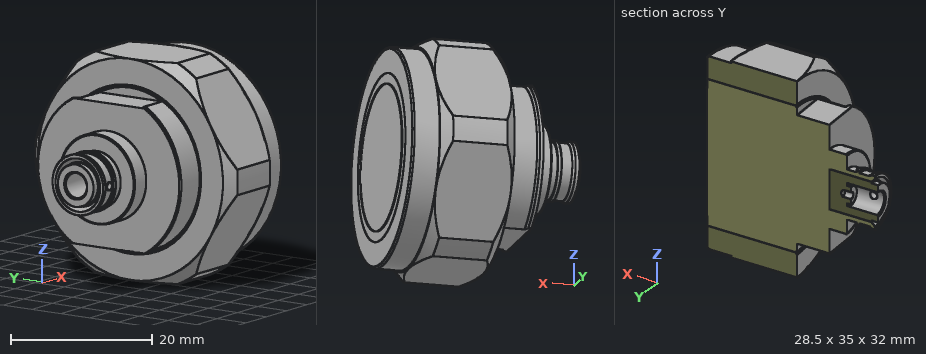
import cadquery as cq
import math


TOTAL_LENGTH = 28.5

SLEEVE_START = 0.52
SLEEVE_RADIUS = 4.13
RIB_RADIUS = 4.38
FRONT_RIB_END = 1.1
FRONT_RIB_TAPER_END = 1.5
REAR_RIB_START = 3.1
REAR_RIB_END = 3.68
MOUTH_RADIUS = 3.85

SHOULDER_START = 5.18
SHOULDER_RADIUS = 6.5
SHOULDER_CHAMFER = 0.15

FLANGE_START = 8.1
FLANGE_RADIUS = 12.2
FLANGE_RIM_END = 8.6
FLANGE_TAPER_END = 8.92
NECK_RADIUS = 11.83
FLAT_HALF_HEIGHT = 10.5

NUT_START = 13.45
HEX_END = 24.43
HEX_ACROSS_FLATS = 32.0
HEX_CORNER_RADIUS = 17.5
NUT_BORE_RADIUS = 12.0
BORE_CHAMFER = 0.2
COLLAR_RADIUS = 15.75
COLLAR_CHAMFER = 0.28
REAR_STEP = 0.1
NUT_END = TOTAL_LENGTH - REAR_STEP
REAR_BOSS_RADIUS = 10.5

INSERT_TIP_RADIUS = 3.08
INSERT_RADIUS = 3.22
INSERT_TAPER_START = 1.1
INSERT_TAPER_LENGTH = 0.07
INSERT_END = FLANGE_START
INSERT_BORE_RADIUS = 1.82
INSERT_BORE_CHAMFER = 0.18
INSERT_BORE_DEPTH = SHOULDER_START
SOCKET_RADIUS = 1.47
SOCKET_HEIGHT = 0.7
SOCKET_HOLE_RADIUS = 0.52
SOCKET_HOLE_DEPTH = 1.4
DRILL_TIP_ANGLE = 118.0

CROSS_HOLE_RADIUS = 0.6
SLEEVE_HOLE_X = 2.45
INSERT_HOLE_X = 1.9


def revolve_about_x(profile):
    """Turn a closed (x, radius) profile about the X axis."""
    return cq.Workplane("XY").polyline(profile).close().revolve(360, (0, 0, 0), (1, 0, 0))


def cross_hole(x):
    """Radial drill running from outside the sleeve on the -Y side to the X axis."""
    return (
        cq.Workplane("XZ")
        .center(x, 0)
        .circle(CROSS_HOLE_RADIUS)
        .extrude(SHOULDER_RADIUS)
    )


def make_housing():
    mouth_end = SLEEVE_START + MOUTH_RADIUS - INSERT_RADIUS
    journal_start = NUT_START + BORE_CHAMFER
    body = revolve_about_x([
        (mouth_end, INSERT_RADIUS),
        (SLEEVE_START, MOUTH_RADIUS),
        (SLEEVE_START, RIB_RADIUS),
        (FRONT_RIB_END, RIB_RADIUS),
        (FRONT_RIB_TAPER_END, SLEEVE_RADIUS),
        (REAR_RIB_START, SLEEVE_RADIUS),
        (REAR_RIB_START, RIB_RADIUS),
        (REAR_RIB_END, RIB_RADIUS),
        (REAR_RIB_END, SLEEVE_RADIUS),
        (SHOULDER_START, SLEEVE_RADIUS),
        (SHOULDER_START, SHOULDER_RADIUS - SHOULDER_CHAMFER),
        (SHOULDER_START + SHOULDER_CHAMFER, SHOULDER_RADIUS),
        (FLANGE_START, SHOULDER_RADIUS),
        (FLANGE_START, FLANGE_RADIUS),
        (FLANGE_RIM_END, FLANGE_RADIUS),
        (FLANGE_TAPER_END, NECK_RADIUS),
        (journal_start, NECK_RADIUS),
        (journal_start, NUT_BORE_RADIUS),
        (NUT_END, NUT_BORE_RADIUS),
        (NUT_END, REAR_BOSS_RADIUS),
        (TOTAL_LENGTH, REAR_BOSS_RADIUS),
        (TOTAL_LENGTH, 0),
        (INSERT_END, 0),
        (INSERT_END, INSERT_RADIUS),
    ])
    return cut_wrench_flats(body).cut(cross_hole(SLEEVE_HOLE_X))


def cut_wrench_flats(body):
    """Two flats facing +Z and -Z, from the flange face back to the nut."""
    flat_depth = FLANGE_RADIUS - FLAT_HALF_HEIGHT
    for side in (1, -1):
        cutter = cq.Workplane("XY").box(
            NUT_START - FLANGE_START, 2 * FLANGE_RADIUS, flat_depth, centered=(False, True, True)
        )
        middle_z = side * (FLAT_HALF_HEIGHT + flat_depth / 2)
        body = body.cut(cutter.translate((FLANGE_START, 0, middle_z)))
    return body


def make_nut():
    across_corners = HEX_ACROSS_FLATS / math.cos(math.pi / 6)
    hexagon = (
        cq.Workplane("YZ")
        .workplane(offset=NUT_START)
        .polygon(6, across_corners)
        .extrude(HEX_END - NUT_START)
    )

    flat_radius = HEX_ACROSS_FLATS / 2
    bevel = HEX_CORNER_RADIUS - flat_radius
    envelope = revolve_about_x([
        (NUT_START, 0),
        (NUT_START, flat_radius),
        (NUT_START + bevel, HEX_CORNER_RADIUS),
        (HEX_END - bevel, HEX_CORNER_RADIUS),
        (HEX_END, flat_radius),
        (HEX_END, 0),
    ])

    collar = revolve_about_x([
        (HEX_END, 0),
        (HEX_END, COLLAR_RADIUS),
        (NUT_END - COLLAR_CHAMFER, COLLAR_RADIUS),
        (NUT_END, COLLAR_RADIUS - COLLAR_CHAMFER),
        (NUT_END, 0),
    ])

    bore = revolve_about_x([
        (NUT_START, 0),
        (NUT_START, NUT_BORE_RADIUS + BORE_CHAMFER),
        (NUT_START + BORE_CHAMFER, NUT_BORE_RADIUS),
        (NUT_END, NUT_BORE_RADIUS),
        (NUT_END, 0),
    ])
    return hexagon.intersect(envelope).union(collar).cut(bore)


def make_insert():
    taper_end = INSERT_TAPER_START + INSERT_TAPER_LENGTH
    socket_tip = INSERT_BORE_DEPTH - SOCKET_HEIGHT
    hole_end = socket_tip + SOCKET_HOLE_DEPTH
    drill_point = SOCKET_HOLE_RADIUS / math.tan(math.radians(DRILL_TIP_ANGLE / 2))
    body = revolve_about_x([
        (0, INSERT_BORE_RADIUS + INSERT_BORE_CHAMFER),
        (0, INSERT_TIP_RADIUS),
        (INSERT_TAPER_START, INSERT_TIP_RADIUS),
        (taper_end, INSERT_RADIUS),
        (INSERT_END, INSERT_RADIUS),
        (INSERT_END, 0),
        (hole_end + drill_point, 0),
        (hole_end, SOCKET_HOLE_RADIUS),
        (socket_tip, SOCKET_HOLE_RADIUS),
        (socket_tip, SOCKET_RADIUS),
        (INSERT_BORE_DEPTH, SOCKET_RADIUS),
        (INSERT_BORE_DEPTH, INSERT_BORE_RADIUS),
        (INSERT_BORE_CHAMFER, INSERT_BORE_RADIUS),
    ])
    return body.cut(cross_hole(INSERT_HOLE_X))


housing = make_housing()
nut = make_nut()
insert = make_insert()

result = cq.Compound.makeCompound([housing.val(), nut.val(), insert.val()])